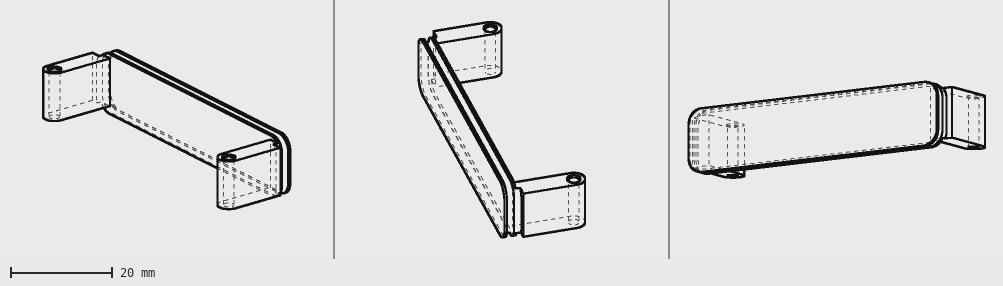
import cadquery as cq

length = 61.05
plate_length = 58.35
plate_height = 12.7
plate_thickness = 2.55
corner_radius = 3.0
groove_radius = 0.75

reach = 16.7
arm_width = 4.45
arm_radius = arm_width / 2
arm_start = 3.5
arm_top_gap = 0.9
arm_height = 10.15
arm_top = plate_height / 2 - arm_top_gap
arm_bottom = arm_top - arm_height
arm_offset = length / 2 - arm_radius
pivot_y = arm_radius - reach

hole_diameter = 2.1
countersink_diameter = 2.7
countersink_angle = 90


def rounded_slab(thickness):
    """Slab with the plate outline, running forward from y = 0."""
    slab = cq.Workplane("XZ").rect(plate_length, plate_height).extrude(thickness)
    return slab.edges("|Y").fillet(corner_radius)


def edge_groove():
    """Half-round groove running around the rim at mid-thickness."""
    rim = rounded_slab(plate_thickness).faces(">Y").wires().val()
    path = cq.Workplane(rim.translate(cq.Vector(0, -plate_thickness / 2, 0)))
    profile = cq.Workplane("YZ", origin=(0, -plate_thickness / 2, plate_height / 2))
    return profile.circle(groove_radius).sweep(path)


def arm(side):
    """Round-ended arm with a neck that follows the plate outline."""
    x = side * arm_offset
    base = cq.Workplane("XY", origin=(x, 0, arm_bottom))
    beam = (
        base.moveTo(-arm_radius, -arm_start)
        .lineTo(-arm_radius, pivot_y)
        .threePointArc((0, -reach), (arm_radius, pivot_y))
        .lineTo(arm_radius, -arm_start)
        .close()
        .extrude(arm_height)
    )
    neck_block = (
        base.moveTo(-arm_radius, -arm_start)
        .lineTo(arm_radius, -arm_start)
        .lineTo(arm_radius, -plate_thickness)
        .lineTo(-arm_radius, -plate_thickness)
        .close()
        .extrude(arm_height)
    )
    return beam.union(neck_block.intersect(rounded_slab(arm_start)))


result = rounded_slab(plate_thickness).cut(edge_groove())
for side in (-1, 1):
    result = result.union(arm(side))

pivots = [(side * arm_offset, pivot_y) for side in (-1, 1)]
top_plane = cq.Workplane("XY", origin=(0, 0, arm_top))
drilled = top_plane.newObject(result.vals()).pushPoints(pivots).cskHole(
    hole_diameter, countersink_diameter, countersink_angle
)
result = cq.Workplane(drilled.solids().val())